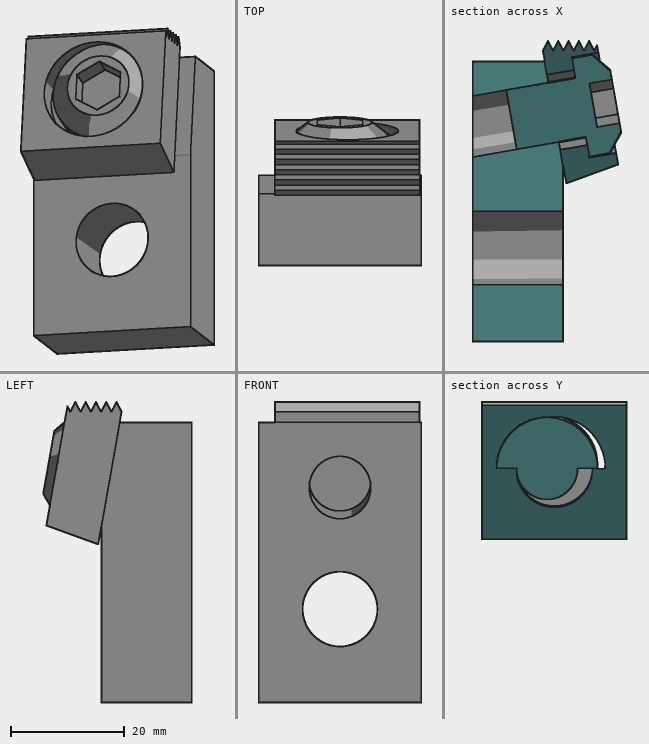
import cadquery as cq
import math

TILT = 10.0
SIN_TILT = math.sin(math.radians(TILT))
COS_TILT = math.cos(math.radians(TILT))
TAN_TILT = math.tan(math.radians(TILT))

BLOCK_WIDTH = 28.575
BLOCK_DEPTH = 15.875
BLOCK_HEIGHT = 49.21
MOUNT_HOLE_DIAMETER = 13.1
MOUNT_HOLE_HEIGHT = 16.4

AXIS_HEIGHT = 37.75
SCREW_DIAMETER = 10.8
SCREW_TIP = 6.9
HEAD_TOP_DIAMETER = 11.2
HEAD_DIAMETER = 17.8
HEAD_CONE_HEIGHT = 2.65
HEAD_STANDOUT = 1.51
SOCKET_FLATS = 7.94
SOCKET_DEPTH = 4.0

SEAT_DISTANCE = 14.45
JAW_THICKNESS = 9.57
JAW_WIDTH = 25.4
JAW_SHIFT = 1.28
JAW_TOP = 52.78
JAW_FOOT_DROP = 12.7
FOOT_SLOPE = 20.0
POCKET_DIAMETER = 17.86
POCKET_DEPTH = 4.8
TOOTH_COUNT = 5
TOOTH_PITCH = 1.805
TOOTH_HEIGHT = 1.71

JAW_FACE_DISTANCE = SEAT_DISTANCE + JAW_THICKNESS
HEAD_TOP_DISTANCE = JAW_FACE_DISTANCE + HEAD_STANDOUT
POCKET_FLOOR_DISTANCE = JAW_FACE_DISTANCE - POCKET_DEPTH
JAW_HOLE_DIAMETER = SCREW_DIAMETER + 2 * JAW_SHIFT


def axis_plane(distance, x=0.0):
    """Workplane square to the screw axis, at a distance along it; local X is the part's X."""
    origin = (x, distance * COS_TILT, AXIS_HEIGHT + distance * SIN_TILT)
    return cq.Workplane(cq.Plane(origin, xDir=(1, 0, 0), normal=(0, COS_TILT, SIN_TILT)))


def tilted_y(distance, z):
    """Y at height z on the plane square to the screw axis at a distance along it."""
    return distance / COS_TILT - (z - AXIS_HEIGHT) * TAN_TILT


def side_profile(points, width, x_center):
    """Solid from a Y-Z outline, extruded along X about x_center."""
    start = cq.Workplane("YZ", origin=(x_center - width / 2, 0, 0))
    return start.polyline(points).close().extrude(width)


def make_block():
    seat_bottom = AXIS_HEIGHT + (SEAT_DISTANCE - BLOCK_DEPTH * COS_TILT) / SIN_TILT
    outline = [
        (0, 0),
        (BLOCK_DEPTH, 0),
        (BLOCK_DEPTH, seat_bottom),
        (tilted_y(SEAT_DISTANCE, BLOCK_HEIGHT), BLOCK_HEIGHT),
        (0, BLOCK_HEIGHT),
    ]
    body = side_profile(outline, BLOCK_WIDTH, 0)
    mount_hole = (
        cq.Workplane("XZ", origin=(0, 0, MOUNT_HOLE_HEIGHT))
        .circle(MOUNT_HOLE_DIAMETER / 2)
        .extrude(-BLOCK_DEPTH)
    )
    hole_length = SCREW_DIAMETER + SEAT_DISTANCE
    screw_hole = axis_plane(-SCREW_DIAMETER).circle(SCREW_DIAMETER / 2).extrude(hole_length)
    return body.cut(mount_hole).cut(screw_hole)


def make_screw_body():
    """Shank and head without the hex socket."""
    cone_base = HEAD_TOP_DISTANCE - HEAD_CONE_HEIGHT
    outline = [
        (0, SCREW_TIP),
        (SCREW_DIAMETER / 2, SCREW_TIP),
        (SCREW_DIAMETER / 2, POCKET_FLOOR_DISTANCE),
        (HEAD_DIAMETER / 2, POCKET_FLOOR_DISTANCE),
        (HEAD_DIAMETER / 2, cone_base),
        (HEAD_TOP_DIAMETER / 2, HEAD_TOP_DISTANCE),
        (0, HEAD_TOP_DISTANCE),
    ]
    axial = cq.Plane((0, 0, AXIS_HEIGHT), xDir=(1, 0, 0), normal=(0, -SIN_TILT, COS_TILT))
    return cq.Workplane(axial).polyline(outline).close().revolve(360, (0, 0, 0), (0, 1, 0))


def make_screw():
    corner_diameter = SOCKET_FLATS / math.cos(math.pi / 6)
    socket = (
        axis_plane(HEAD_TOP_DISTANCE)
        .transformed(rotate=(0, 0, 90))
        .polygon(6, corner_diameter)
        .extrude(-SOCKET_DEPTH)
    )
    return make_screw_body().cut(socket)


def jaw_outline():
    """Leaning outline with a sawtooth top; the last tooth is cut short by the outer face."""
    root_z = JAW_TOP - TOOTH_HEIGHT
    root_y = tilted_y(SEAT_DISTANCE, root_z)
    points = [(root_y, root_z)]
    for _ in range(TOOTH_COUNT):
        points.append((root_y + TOOTH_PITCH / 2, JAW_TOP))
        root_y += TOOTH_PITCH
        points.append((root_y, root_z))

    flank_run = TOOTH_PITCH / 2 / TOOTH_HEIGHT
    crest_rise = (tilted_y(JAW_FACE_DISTANCE, root_z) - root_y) / (flank_run + TAN_TILT)
    points.append((root_y + crest_rise * flank_run, root_z + crest_rise))

    foot_y = SEAT_DISTANCE * COS_TILT + JAW_FOOT_DROP * SIN_TILT
    foot_z = AXIS_HEIGHT + SEAT_DISTANCE * SIN_TILT - JAW_FOOT_DROP * COS_TILT
    foot_length = JAW_THICKNESS / math.cos(math.radians(FOOT_SLOPE - TILT))
    heel_y = foot_y + foot_length * math.cos(math.radians(FOOT_SLOPE))
    heel_z = foot_z + foot_length * math.sin(math.radians(FOOT_SLOPE))
    return points + [(heel_y, heel_z), (foot_y, foot_z)]


def make_jaw():
    body = side_profile(jaw_outline(), JAW_WIDTH, JAW_SHIFT)
    pocket = axis_plane(JAW_FACE_DISTANCE, JAW_SHIFT).circle(POCKET_DIAMETER / 2).extrude(-POCKET_DEPTH)
    screw_hole = axis_plane(SEAT_DISTANCE, JAW_SHIFT).circle(JAW_HOLE_DIAMETER / 2).extrude(JAW_THICKNESS)
    return body.cut(pocket).cut(screw_hole).cut(make_screw_body())


block = make_block()
screw = make_screw()
jaw = make_jaw()

result = cq.Compound.makeCompound([block.val(), screw.val(), jaw.val()])